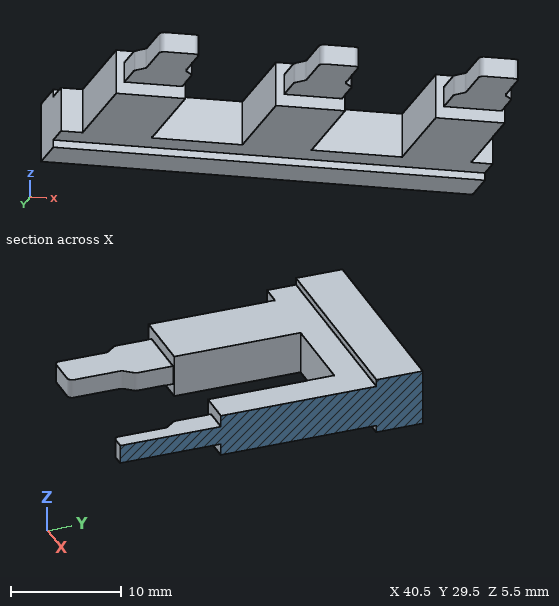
import cadquery as cq


bar_length = 40.5
head_depth = 4.55
head_height = 5.5
neck_depth = 2.85

leg_count = 3
leg_pitch = 15.0
leg_width = 6.5
leg_height = 4.15
leg_length = 12.3

blade_offset = 0.25
blade_length = 9.8
blade_thickness = 1.85
shank_width = 5.43
shank_length = 3.6
taper_length = 1.05
tip_width = 3.7
blade_radius = 0.5

head_front = -head_depth
neck_front = head_front - neck_depth
leg_end = neck_front - leg_length
blade_end = leg_end - blade_length
taper_start = leg_end - shank_length
taper_end = taper_start - taper_length


def block(width, y_back, y_front, height, x_center=0.0):
    """Box between two Y positions, centred on Z = 0."""
    return (
        cq.Workplane("XY")
        .box(width, y_back - y_front, height)
        .translate((x_center, (y_back + y_front) / 2, 0))
    )


def blade(x_center):
    """Flat blade that tapers to a narrow tip, with rounded profile corners."""
    half_shank = shank_width / 2
    half_tip = tip_width / 2
    profile = [
        (half_shank, leg_end),
        (half_shank, taper_start),
        (half_tip, taper_end),
        (half_tip, blade_end),
        (-half_tip, blade_end),
        (-half_tip, taper_end),
        (-half_shank, taper_start),
        (-half_shank, leg_end),
    ]
    return (
        cq.Workplane("XY")
        .polyline(profile)
        .close()
        .extrude(blade_thickness / 2, both=True)
        .edges("|Z")
        .edges("not >Y")
        .fillet(blade_radius)
        .translate((x_center, 0, 0))
    )


head = block(bar_length, 0, head_front, head_height)
neck = block(bar_length, head_front, neck_front, leg_height)
result = head.union(neck)

for index in range(leg_count):
    leg_x = (index - (leg_count - 1) / 2) * leg_pitch
    leg = block(leg_width, neck_front, leg_end, leg_height, leg_x)
    result = result.union(leg).union(blade(leg_x + blade_offset))